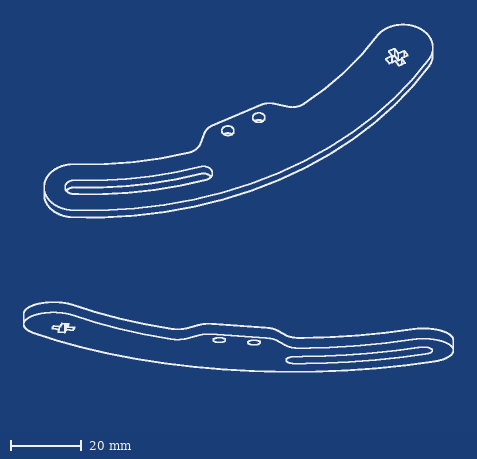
import cadquery as cq
import math

length = 123.3
thickness = 3.2
path_radius = 102.0
end_radius = 8.5
end_y = length / 2 - end_radius
end_angle = math.asin(end_y / path_radius)

tab_x = 86.2
tab_half_height = 9.9
tab_reach = 8.6
tab_fillet = 4.9
mount_hole_diameter = 3.5
mount_hole_spacing = 10.0
mount_hole_inset = 3.8

slot_width = 5.0
slot_top_y = -18.6

cross_x = 89.4
cross_y = 49.9
cross_size = 6.0
cross_arm_width = 2.0


def polar_point(radius, angle):
    return (radius * math.cos(angle), radius * math.sin(angle))


def curved_bar(half_width, start_angle, stop_angle):
    """Bar with round ends that follows the path arc."""
    inner = path_radius - half_width
    outer = path_radius + half_width
    middle_angle = (start_angle + stop_angle) / 2
    start_x, start_y = polar_point(path_radius, start_angle)
    stop_x, stop_y = polar_point(path_radius, stop_angle)
    start_tip = (
        start_x + half_width * math.sin(start_angle),
        start_y - half_width * math.cos(start_angle),
    )
    stop_tip = (
        stop_x - half_width * math.sin(stop_angle),
        stop_y + half_width * math.cos(stop_angle),
    )
    return (
        cq.Workplane("XY")
        .moveTo(*polar_point(outer, start_angle))
        .threePointArc(polar_point(outer, middle_angle), polar_point(outer, stop_angle))
        .threePointArc(stop_tip, polar_point(inner, stop_angle))
        .threePointArc(polar_point(inner, middle_angle), polar_point(inner, start_angle))
        .threePointArc(start_tip, polar_point(outer, start_angle))
        .close()
        .extrude(thickness)
    )


def mounting_tab():
    """Tab with 45 degree flanks that run into the bar."""
    root_x = tab_x + tab_reach
    root_half_height = tab_half_height + tab_reach
    return (
        cq.Workplane("XY")
        .polyline([
            (tab_x, -tab_half_height),
            (root_x, -root_half_height),
            (root_x, root_half_height),
            (tab_x, tab_half_height),
        ])
        .close()
        .extrude(thickness)
    )


def round_tab_corners(body):
    """Fillet the tab's outer corners and the corners where its flanks meet the bar."""
    inner_radius = path_radius - end_radius
    flank_offset = tab_x - tab_half_height
    root_x = (flank_offset + math.sqrt(2 * inner_radius**2 - flank_offset**2)) / 2
    root_y = root_x - flank_offset
    for x, y in ((tab_x, tab_half_height), (root_x, root_y)):
        for side in (-1, 1):
            corner = cq.selectors.NearestToPointSelector((x, side * y, thickness / 2))
            body = body.edges("|Z").edges(corner).fillet(tab_fillet)
    return body


def mounting_holes():
    return (
        cq.Workplane("XY")
        .center(tab_x + mount_hole_inset, 0)
        .rarray(1.2, mount_hole_spacing, 1, 2)
        .circle(mount_hole_diameter / 2)
        .extrude(thickness)
    )


def cross_opening():
    plane = cq.Workplane("XY").center(cross_x, cross_y)
    horizontal = plane.rect(cross_size, cross_arm_width).extrude(thickness)
    vertical = plane.rect(cross_arm_width, cross_size).extrude(thickness)
    return horizontal.union(vertical)


slot_top_angle = math.asin(slot_top_y / path_radius)

result = curved_bar(end_radius, -end_angle, end_angle).union(mounting_tab())
result = round_tab_corners(result)
result = result.cut(curved_bar(slot_width / 2, -end_angle, slot_top_angle))
result = result.cut(mounting_holes())
result = result.cut(cross_opening())